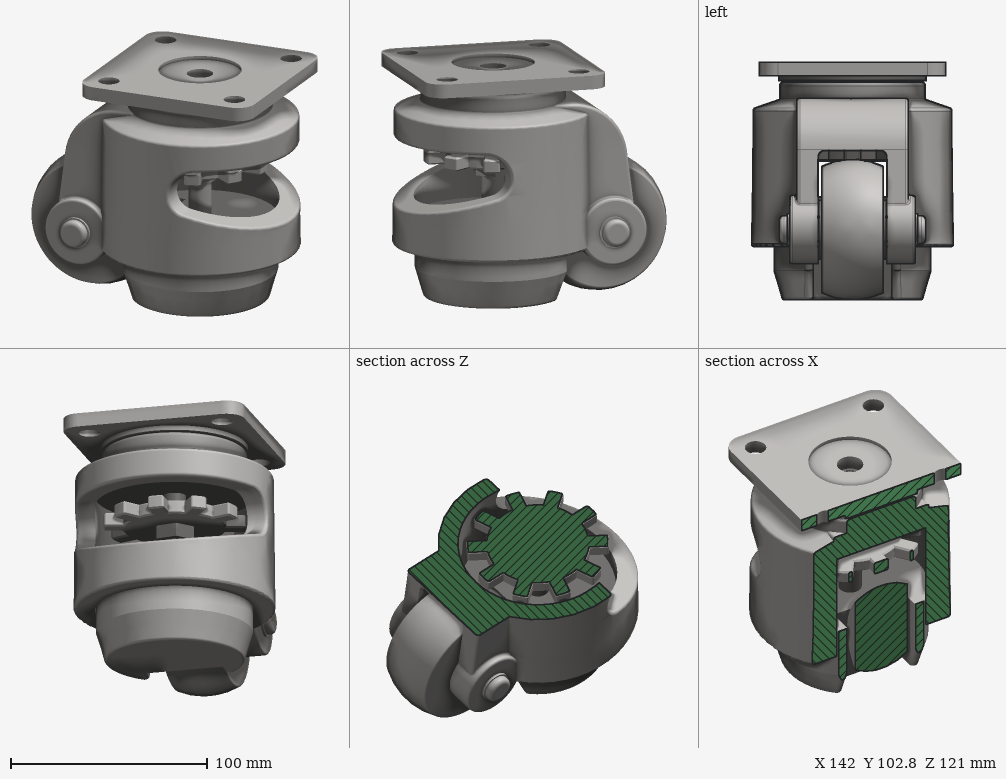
import cadquery as cq
import math

TOTAL_HEIGHT = 121.0

PLATE_SIZE = 95.0
PLATE_THICKNESS = 7.1
PLATE_CORNER_RADIUS = 9.4
BOLT_PITCH = 70.0
BOLT_HOLE_DIAMETER = 11.0
RING_DIAMETER = 75.0
RING_THICKNESS = 2.4
RECESS_DIAMETER = 42.5
RECESS_DEPTH = 2.0
CENTRE_HOLE_DIAMETER = 13.5
PLATE_BOTTOM = TOTAL_HEIGHT - PLATE_THICKNESS
RING_BOTTOM = PLATE_BOTTOM - RING_THICKNESS

DRUM_BASE_RADIUS = 51.4
DRUM_TOP_RADIUS = 50.5
DRUM_BOTTOM = 27.1
DRUM_TOP = 97.3
DRUM_TOP_FILLET = 1.7
DRUM_BOTTOM_FILLET = 1.4
NECK_RADIUS = 74.0 / 2
NECK_BOTTOM = 102.0
NECK_GAP = 0.5
NECK_TOP = RING_BOTTOM - NECK_GAP
NECK_FILLET = 2.0
NECK_BASE_FILLET = 0.7
CAVITY_RADIUS = 40.5
CAVITY_TOP = 88.0

OPENING_TOP = 82.7
OPENING_LEFT = 5.4
OPENING_UPPER_RADIUS = 12.9
OPENING_LOWER_RADIUS = 10.2
SILL_SLOPE = 17.2
OPENING_REACH = 71.0
OPENING_FILLET = 1.7

WHEEL_RADIUS = 35.8
WHEEL_X = -54.8
WHEEL_Z = WHEEL_RADIUS
WHEEL_WIDTH = 31.4
WHEEL_EDGE_FILLET = 1.0
HUB_DIAMETER = 30.0
HUB_WIDTH = 34.1
WHEEL_BORE_DIAMETER = 12.5
AXLE_DIAMETER = 12.0
AXLE_LENGTH = 74.5
AXLE_HEAD_DIAMETER = 14.2
AXLE_HEAD_FILLET = 2.3
COLLAR_DIAMETER = 16.0
COLLAR_THICKNESS = 1.3

FORK_WIDTH = 57.0
FORK_TOP = 102.7
FORK_ARC_RADIUS = 30.0
FORK_ARC_X = -33.2
FORK_LEAN = 7.4
FORK_INNER_X = -21.3
FORK_FILLET = 1.7
BOSS_RADIUS = 17.5
BOSS_SPAN = 63.9
BOSS_FILLET = 1.4
BOSS_ROOT_FILLET = 1.0
SLOT_WIDTH = 35.0
SLOT_TOP = 76.0
SLOT_CORNER_RADIUS = 3.4

PAD_RADIUS = 39.9
PAD_TIP_RADIUS = 35.5
PAD_TAPER_TOP = 15.0
PAD_TOP = 42.6
PAD_BOTTOM_FILLET = 1.7
NOTCH_WIDTH = 40.0
NOTCH_BACK_X = -17.0
NOTCH_EDGE_FILLET = 2.7
STEM_DIAMETER = 12.0
STEM_TOP = NECK_TOP
STEM_CHAMFER = 0.7
HAND_WHEEL_RADIUS = 36.2
HAND_WHEEL_BOTTOM = 70.5
HAND_WHEEL_THICKNESS = 7.1
HAND_WHEEL_CORE_RADIUS = 26.5
HAND_WHEEL_CHAMFER = 0.9
GRIP_COUNT = 10
GRIP_WIDTH = 8.5
GRIP_FILLET = 1.1
HEX_ACROSS_FLATS = 19.0
HEX_HEIGHT = 7.0
HEX_TURN = -10.0


def upright_cylinder(diameter, bottom, top):
    """Cylinder on the Z axis."""
    return cq.Workplane("XY", origin=(0, 0, bottom)).circle(diameter / 2).extrude(top - bottom)


def cross_cylinder(diameter, length):
    """Cylinder on the wheel axis, centred on y = 0."""
    plane = cq.Workplane("XZ", origin=(WHEEL_X, 0, WHEEL_Z))
    return plane.circle(diameter / 2).extrude(length / 2, both=True)


def at_height(z):
    """Selects the edges that lie level at height z."""
    near = 0.1
    low = (-PLATE_SIZE, -PLATE_SIZE, z - near)
    high = (PLATE_SIZE, PLATE_SIZE, z + near)
    return cq.selectors.BoxSelector(low, high, boundingbox=True)


def make_plate():
    plate = (
        cq.Workplane("XY", origin=(0, 0, PLATE_BOTTOM))
        .rect(PLATE_SIZE, PLATE_SIZE)
        .extrude(PLATE_THICKNESS)
        .edges("|Z")
        .fillet(PLATE_CORNER_RADIUS)
        .faces(">Z")
        .workplane()
        .rect(BOLT_PITCH, BOLT_PITCH, forConstruction=True)
        .vertices()
        .hole(BOLT_HOLE_DIAMETER)
    )
    ring = upright_cylinder(RING_DIAMETER, RING_BOTTOM, PLATE_BOTTOM)
    recess = upright_cylinder(RECESS_DIAMETER, TOTAL_HEIGHT - RECESS_DEPTH, TOTAL_HEIGHT)
    centre_hole = upright_cylinder(CENTRE_HOLE_DIAMETER, RING_BOTTOM, TOTAL_HEIGHT)
    return plate.union(ring).cut(recess).cut(centre_hole)


def make_drum():
    """Tapered drum with its cone and its neck."""
    drum = (
        cq.Workplane("XZ")
        .moveTo(0, DRUM_BOTTOM)
        .lineTo(DRUM_BASE_RADIUS, DRUM_BOTTOM)
        .lineTo(DRUM_TOP_RADIUS, DRUM_TOP)
        .lineTo(NECK_RADIUS, NECK_BOTTOM)
        .lineTo(NECK_RADIUS, NECK_TOP)
        .lineTo(0, NECK_TOP)
        .close()
        .revolve(360, (0, 0, 0), (0, 1, 0))
    )
    drum = drum.faces(">Z").edges().fillet(NECK_FILLET)
    drum = drum.faces("<Z").edges().fillet(DRUM_BOTTOM_FILLET)
    drum = drum.edges(at_height(DRUM_TOP)).fillet(DRUM_TOP_FILLET)
    return drum.edges(at_height(NECK_BOTTOM)).fillet(NECK_BASE_FILLET)


def make_opening():
    """Cutter for the hand opening, running right through along Y."""
    slope = math.radians(SILL_SLOPE)
    left_z = OPENING_TOP - OPENING_UPPER_RADIUS
    upper_x = OPENING_LEFT + OPENING_UPPER_RADIUS
    lower_x = OPENING_LEFT + OPENING_LOWER_RADIUS
    sill_x = lower_x - OPENING_LOWER_RADIUS * math.sin(slope)
    sill_z = left_z - OPENING_LOWER_RADIUS * math.cos(slope)
    sill_end_z = sill_z - (OPENING_REACH - sill_x) * math.tan(slope)
    return (
        cq.Workplane("XZ")
        .moveTo(OPENING_REACH, OPENING_TOP)
        .lineTo(upper_x, OPENING_TOP)
        .radiusArc((OPENING_LEFT, left_z), -OPENING_UPPER_RADIUS)
        .radiusArc((sill_x, sill_z), -OPENING_LOWER_RADIUS)
        .lineTo(OPENING_REACH, sill_end_z)
        .close()
        .extrude(OPENING_REACH, both=True)
    )


def make_fork():
    """Solid fork block with the axle bosses, before the wheel slot is cut."""
    lean = math.radians(FORK_LEAN)
    arc_z = FORK_TOP - FORK_ARC_RADIUS
    tangent_x = FORK_ARC_X - FORK_ARC_RADIUS * math.cos(lean)
    tangent_z = arc_z + FORK_ARC_RADIUS * math.sin(lean)
    foot_x = tangent_x - (tangent_z - WHEEL_Z) * math.tan(lean)
    block = (
        cq.Workplane("XZ")
        .moveTo(FORK_INNER_X, FORK_TOP)
        .lineTo(FORK_ARC_X, FORK_TOP)
        .radiusArc((tangent_x, tangent_z), -FORK_ARC_RADIUS)
        .lineTo(foot_x, WHEEL_Z)
        .lineTo(FORK_INNER_X, WHEEL_Z)
        .close()
        .extrude(FORK_WIDTH / 2, both=True)
        .faces("<Y or >Y")
        .edges()
        .fillet(FORK_FILLET)
    )
    bosses = cross_cylinder(2 * BOSS_RADIUS, BOSS_SPAN).faces("<Y or >Y").edges().fillet(BOSS_FILLET)
    fork = block.union(bosses)
    low = (WHEEL_X - BOSS_RADIUS - 1.4, -FORK_WIDTH / 2 - 0.1, WHEEL_Z + 0.7)
    high = (WHEEL_X + BOSS_RADIUS + 1.4, FORK_WIDTH / 2 + 0.1, WHEEL_Z + BOSS_RADIUS + 1.4)
    boss_roots = cq.selectors.BoxSelector(low, high, boundingbox=True)
    return fork.edges(boss_roots).edges("%CIRCLE").fillet(BOSS_ROOT_FILLET)


def make_wheel_slot():
    """Cutter between the fork arms, open to the cavity, the front and the bottom."""
    front_x = WHEEL_X - 2 * WHEEL_RADIUS
    back_x = -CAVITY_RADIUS / 2
    return (
        cq.Workplane("XY")
        .box(back_x - front_x, SLOT_WIDTH, SLOT_TOP, centered=(False, True, False))
        .translate((front_x, 0, 0))
        .edges("|X and >Z")
        .fillet(SLOT_CORNER_RADIUS)
    )


def make_housing():
    drum = make_drum().cut(make_opening())
    low = (0, -DRUM_BASE_RADIUS, DRUM_BOTTOM + 2 * DRUM_BOTTOM_FILLET)
    high = (DRUM_BASE_RADIUS + 1.4, DRUM_BASE_RADIUS, DRUM_TOP - 2 * DRUM_TOP_FILLET)
    opening_edges = cq.selectors.BoxSelector(low, high, boundingbox=True)
    drum = drum.edges(opening_edges).edges("not |Y").fillet(OPENING_FILLET)
    return (
        drum.union(make_fork())
        .cut(upright_cylinder(2 * CAVITY_RADIUS, 0, CAVITY_TOP))
        .cut(make_wheel_slot())
        .cut(upright_cylinder(STEM_DIAMETER, 0, TOTAL_HEIGHT))
        .cut(cross_cylinder(AXLE_DIAMETER, BOSS_SPAN))
    )


def make_wheel():
    """Ball-shaped tread with flat sides, and a hub standing out on both sides."""
    half_width = WHEEL_WIDTH / 2
    side_radius = math.sqrt(WHEEL_RADIUS**2 - half_width**2)
    tread = (
        cq.Workplane("XY", origin=(WHEEL_X, 0, WHEEL_Z))
        .moveTo(0, -half_width)
        .lineTo(-side_radius, -half_width)
        .threePointArc((-WHEEL_RADIUS, 0), (-side_radius, half_width))
        .lineTo(0, half_width)
        .close()
        .revolve(360, (0, 0, 0), (0, 1, 0))
    )
    tread = tread.faces("<Y or >Y").edges().fillet(WHEEL_EDGE_FILLET)
    hub = cross_cylinder(HUB_DIAMETER, HUB_WIDTH)
    return tread.union(hub).cut(cross_cylinder(WHEEL_BORE_DIAMETER, HUB_WIDTH))


def make_axle():
    """Shaft through both bosses, with a collar and a rounded head at each end."""
    heads = cross_cylinder(AXLE_HEAD_DIAMETER, AXLE_LENGTH)
    heads = heads.faces("<Y or >Y").edges().fillet(AXLE_HEAD_FILLET)
    collars = cross_cylinder(COLLAR_DIAMETER, BOSS_SPAN + 2 * COLLAR_THICKNESS)
    between_heads = cross_cylinder(2 * COLLAR_DIAMETER, BOSS_SPAN)
    return heads.union(collars).cut(between_heads).union(cross_cylinder(AXLE_DIAMETER, BOSS_SPAN))


def make_pad():
    """Round pad, tapered at the bottom and notched to clear the wheel."""
    pad = (
        cq.Workplane("XZ")
        .lineTo(PAD_TIP_RADIUS, 0)
        .lineTo(PAD_RADIUS, PAD_TAPER_TOP)
        .lineTo(PAD_RADIUS, PAD_TOP)
        .lineTo(0, PAD_TOP)
        .close()
        .revolve(360, (0, 0, 0), (0, 1, 0))
    )
    notch = (
        cq.Workplane("XY")
        .box(PAD_RADIUS, NOTCH_WIDTH, PAD_TOP, centered=(False, True, False))
        .translate((NOTCH_BACK_X - PAD_RADIUS, 0, 0))
    )
    mouth = cq.selectors.BoxSelector(
        (-PAD_RADIUS, -NOTCH_WIDTH, -1.4), (NOTCH_BACK_X - 1.4, NOTCH_WIDTH, PAD_TOP + 1.4), boundingbox=True
    )
    pad = pad.cut(notch).edges(mouth).edges("not #Z").fillet(NOTCH_EDGE_FILLET)
    return pad.faces("<Z").edges().fillet(PAD_BOTTOM_FILLET)


def make_hand_wheel():
    """Round core with radial grips, made from bars that each carry two opposite grips."""
    top = HAND_WHEEL_BOTTOM + HAND_WHEEL_THICKNESS
    hand_wheel = upright_cylinder(2 * HAND_WHEEL_CORE_RADIUS, HAND_WHEEL_BOTTOM, top)
    rim = upright_cylinder(2 * HAND_WHEEL_RADIUS, HAND_WHEEL_BOTTOM, top)
    bar = (
        cq.Workplane("XY", origin=(0, 0, HAND_WHEEL_BOTTOM))
        .rect(3 * HAND_WHEEL_RADIUS, GRIP_WIDTH)
        .extrude(HAND_WHEEL_THICKNESS)
        .intersect(rim)
        .edges("|Z")
        .fillet(GRIP_FILLET)
    )
    for index in range(GRIP_COUNT // 2):
        hand_wheel = hand_wheel.union(bar.rotate((0, 0, 0), (0, 0, 1), index * 360 / GRIP_COUNT))
    return hand_wheel.faces("<Z or >Z").edges().chamfer(HAND_WHEEL_CHAMFER)


def make_foot():
    stem = upright_cylinder(STEM_DIAMETER, PAD_TOP, STEM_TOP).faces(">Z").chamfer(STEM_CHAMFER)
    hexagon = (
        cq.Workplane("XY", origin=(0, 0, HAND_WHEEL_BOTTOM - HEX_HEIGHT))
        .polygon(6, HEX_ACROSS_FLATS, circumscribed=True)
        .extrude(HEX_HEIGHT)
        .rotate((0, 0, 0), (0, 0, 1), HEX_TURN)
    )
    return make_pad().union(stem).union(hexagon).union(make_hand_wheel())


plate = make_plate()
housing = make_housing()
wheel = make_wheel()
axle = make_axle()
foot = make_foot()

result = cq.Compound.makeCompound([plate.val(), housing.val(), wheel.val(), axle.val(), foot.val()])